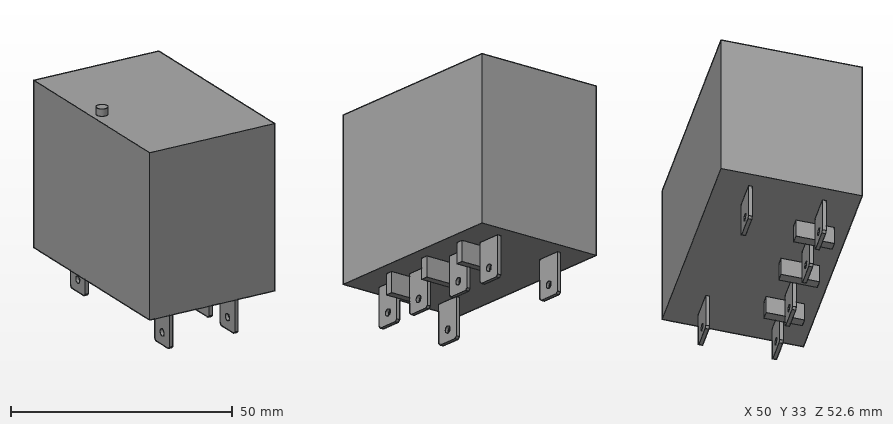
import cadquery as cq

total_height = 52.6
body_length = 50.05
body_width = 33.0

blade_width = 6.4
blade_thickness = 0.9
blade_length = 10.0
blade_chamfer = 0.5
blade_hole_diameter = 1.7
blade_hole_drop = 7.0
inner_blade_x = 7.15
outer_blade_x = 18.2
blade_row_y = 8.6

rib_thickness = 1.9
rib_width = 9.0
rib_length = 5.1
side_rib_x = (inner_blade_x + outer_blade_x) / 2

button_diameter = 2.75
button_height = 1.8
button_y = -13.8

body_height = total_height - blade_length - button_height


def make_body():
    """Plain box with its underside at Z = 0."""
    return cq.Workplane("XY").box(body_length, body_width, body_height, centered=(True, True, False))


def make_button():
    """Short cylinder standing on the top face."""
    return (
        cq.Workplane("XY", origin=(0, button_y, body_height))
        .circle(button_diameter / 2)
        .extrude(button_height)
    )


def make_blade(x, y):
    """Flat hanging terminal with chamfered tip corners and a cross hole."""
    blade = (
        cq.Workplane("XY")
        .box(blade_width, blade_thickness, blade_length)
        .translate((x, y, -blade_length / 2))
        .edges("|Y and <Z")
        .chamfer(blade_chamfer)
    )
    hole = (
        cq.Workplane("XZ", origin=(x, y, -blade_hole_drop))
        .circle(blade_hole_diameter / 2)
        .extrude(blade_thickness, both=True)
    )
    return blade.cut(hole)


def make_rib(x):
    """Rectangular rib hanging below the body."""
    return (
        cq.Workplane("XY")
        .box(rib_thickness, rib_width, rib_length)
        .translate((x, blade_row_y, -rib_length / 2))
    )


result = make_body().union(make_button())

for side in (-1, 1):
    result = result.union(make_blade(side * outer_blade_x, -blade_row_y))
    result = result.union(make_blade(side * outer_blade_x, blade_row_y))
    result = result.union(make_blade(side * inner_blade_x, blade_row_y))

for rib_x in (-side_rib_x, 0, side_rib_x):
    result = result.union(make_rib(rib_x))